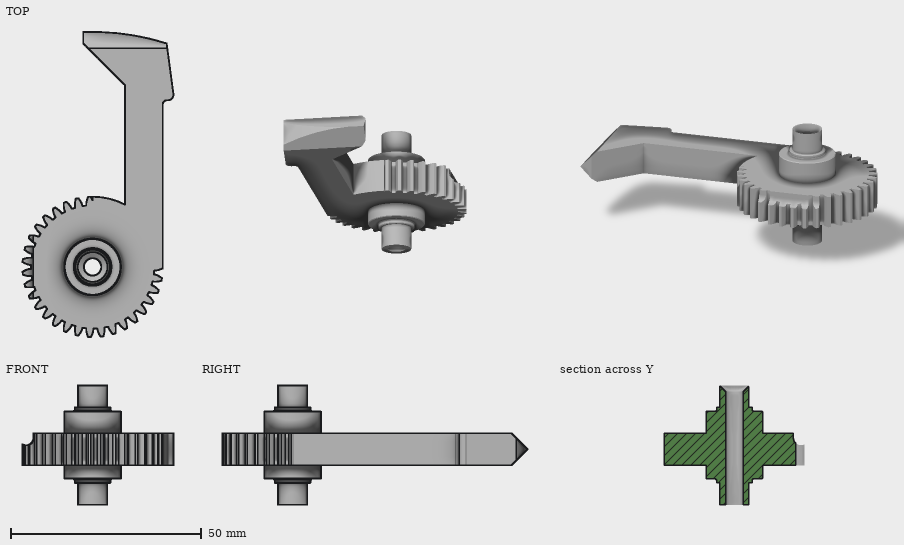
import cadquery as cq
import math

plate_thickness = 8.5

module = 1.0
tooth_count = 35
pressure_angle = math.radians(20)
pitch_radius = module * tooth_count / 2
tip_radius = pitch_radius + module
dedendum_factor = 1.25
root_radius = pitch_radius - dedendum_factor * module
base_radius = pitch_radius * math.cos(pressure_angle)
tooth_pitch_angle = 2 * math.pi / tooth_count
flank_points = 5

arm_width = 10.0
arm_outer_x = tip_radius
arm_inner_x = arm_outer_x - arm_width

jaw_end_y = 61.82
jaw_tip_x = -2.5
jaw_tip_width = 3.05
jaw_slope_run = arm_inner_x - jaw_tip_x
jaw_corner = (19.5, 58.8)
jaw_arc_mid = (9.0, 61.2)
jaw_heel = (21.51, 43.8)
heel_outer_radius = 1.5
heel_inner_radius = 1.0
bevel = plate_thickness / 2

relief_x = -15.6
relief_depth = 3.2
relief_radius = 1.9

hub_diameter = 15.0
collar_diameter = 9.5
pin_diameter = 7.8
bore_diameter = 4.5
upper_hub_height = 5.75
lower_hub_height = 3.55
collar_height = 1.1
pin_height = 5.7
hub_chamfer = 0.2
collar_chamfer = 0.2
collar_flare = 0.25


def polar(radius, angle):
    return (radius * math.cos(angle), radius * math.sin(angle))


def involute_angle(radius):
    """Polar angle swept by the involute between the base circle and radius."""
    roll = math.sqrt((radius / base_radius) ** 2 - 1)
    return roll - math.atan(roll)


def half_tooth_angle(radius):
    """Half the angle that a tooth spans at the given radius."""
    return tooth_pitch_angle / 4 + involute_angle(pitch_radius) - involute_angle(radius)


def gear():
    """Full spur gear with involute flanks and straight flanks below the base circle."""
    step = (tip_radius - base_radius) / (flank_points - 1)
    radii = [base_radius + i * step for i in range(flank_points)]
    root_half = half_tooth_angle(base_radius)
    tip_half = half_tooth_angle(tip_radius)
    first_centre = math.pi + tooth_pitch_angle / 2

    outline = cq.Workplane("XY").moveTo(*polar(root_radius, first_centre - root_half))
    for i in range(tooth_count):
        centre = first_centre + i * tooth_pitch_angle
        rising = [polar(r, centre - half_tooth_angle(r)) for r in radii]
        falling = [polar(r, centre + half_tooth_angle(r)) for r in reversed(radii)]
        next_root = centre + tooth_pitch_angle - root_half
        outline = (
            outline.lineTo(*rising[0])
            .spline(rising[1:], includeCurrent=True)
            .threePointArc(polar(tip_radius, centre), polar(tip_radius, centre + tip_half))
            .spline(falling[1:], includeCurrent=True)
            .lineTo(*polar(root_radius, centre + root_half))
            .threePointArc(
                polar(root_radius, centre + tooth_pitch_angle / 2),
                polar(root_radius, next_root),
            )
        )
    return outline.close().extrude(plate_thickness)


def toothless_quarter():
    """Plain quarter of the tip circle that joins the gear to the arm."""
    return (
        cq.Workplane("XY")
        .lineTo(tip_radius, 0)
        .threePointArc(polar(tip_radius, math.pi / 4), (0, tip_radius))
        .close()
        .extrude(plate_thickness)
    )


def arm_and_jaw():
    slope_start_y = jaw_end_y - jaw_tip_width
    body = (
        cq.Workplane("XY")
        .moveTo(arm_inner_x, 0)
        .lineTo(arm_inner_x, slope_start_y - jaw_slope_run)
        .lineTo(jaw_tip_x, slope_start_y)
        .lineTo(jaw_tip_x, jaw_end_y)
        .threePointArc(jaw_arc_mid, jaw_corner)
        .lineTo(*jaw_heel)
        .lineTo(arm_outer_x, jaw_heel[1])
        .lineTo(arm_outer_x, 0)
        .close()
        .extrude(plate_thickness)
    )
    heel_edge = cq.selectors.NearestToPointSelector((*jaw_heel, plate_thickness / 2))
    inner_edge = cq.selectors.NearestToPointSelector((arm_outer_x, jaw_heel[1], plate_thickness / 2))
    body = body.edges(heel_edge).fillet(heel_outer_radius)
    body = body.edges(inner_edge).fillet(heel_inner_radius)

    wedge = (
        cq.Workplane("YZ")
        .polyline([
            (0, 0),
            (jaw_end_y - bevel, 0),
            (jaw_end_y, plate_thickness / 2),
            (jaw_end_y - bevel, plate_thickness),
            (0, plate_thickness),
        ])
        .close()
        .extrude(2 * jaw_end_y, both=True)
    )
    return body.intersect(wedge)


def relief():
    """Round-bottomed channel along Y, open at the top."""
    far_x = relief_x - 2 * relief_radius
    straight_depth = relief_depth - relief_radius
    channel_center_x = relief_x - relief_radius
    slot = (
        cq.Workplane("XZ")
        .moveTo(relief_x, plate_thickness)
        .lineTo(relief_x, plate_thickness - straight_depth)
        .threePointArc(
            (channel_center_x, plate_thickness - relief_depth),
            (far_x, plate_thickness - straight_depth),
        )
        .lineTo(far_x, plate_thickness)
        .close()
    )
    return slot.extrude(tip_radius, both=True)


def hub_side(hub_height):
    """Hub, collar with a flared foot, and pin, stacked upwards from Z = 0."""
    hub = cq.Workplane("XY").circle(hub_diameter / 2).extrude(hub_height)
    hub = hub.faces(">Z").chamfer(hub_chamfer)
    collar = cq.Workplane("XY").circle(collar_diameter / 2).extrude(hub_height + collar_height)
    collar = collar.faces(">Z").chamfer(collar_chamfer)
    collar_radius = collar_diameter / 2
    flare = cq.Workplane("XY").add(
        cq.Solid.makeCone(
            collar_radius + collar_flare, collar_radius, collar_flare, pnt=cq.Vector(0, 0, hub_height)
        )
    )
    pin = cq.Workplane("XY").circle(pin_diameter / 2).extrude(hub_height + collar_height + pin_height)
    return hub.union(collar).union(flare).union(pin)


def bore():
    """Through hole with a 45 degree countersink that reaches the rim of the upper pin."""
    top = plate_thickness + upper_hub_height + collar_height + pin_height
    bottom = -(lower_hub_height + collar_height + pin_height)
    hole = cq.Workplane("XY").workplane(offset=bottom).circle(bore_diameter / 2).extrude(top - bottom)
    sink_depth = (pin_diameter - bore_diameter) / 2
    sink = cq.Solid.makeCone(
        bore_diameter / 2, pin_diameter / 2, sink_depth, pnt=cq.Vector(0, 0, top - sink_depth)
    )
    return hole.union(cq.Workplane(sink))


plate = gear().union(toothless_quarter()).union(arm_and_jaw()).cut(relief())
upper_side = hub_side(upper_hub_height).translate((0, 0, plate_thickness))
lower_side = hub_side(lower_hub_height).mirror("XY")
result = plate.union(upper_side).union(lower_side).cut(bore())